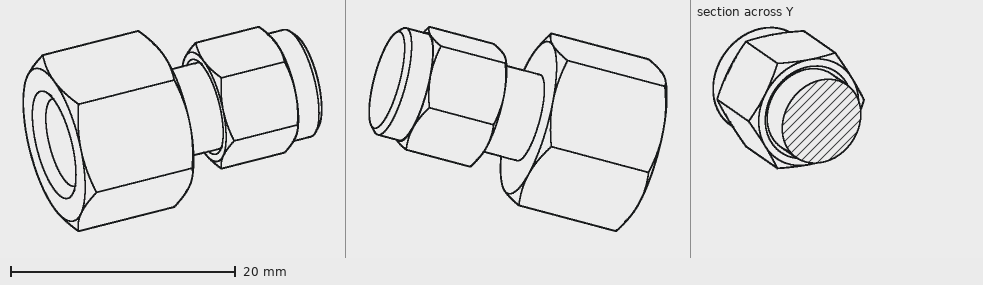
import cadquery as cq
import math

total_length = 24.0
large_nut_end = 10.5
neck_end = 14.5
small_nut_end = 21.5

large_nut_flats = 14.0
small_nut_flats = 10.0
neck_diameter = 7.92
collar_diameter = 9.85
collar_chamfer = 0.48

recess_mouth_diameter = 9.85
recess_floor_diameter = 8.02

countersink_diameter = 8.7

nut_chamfer_angle = math.radians(30)


def cylinder(diameter, start, end):
    """Cylinder along Y between two stations."""
    plane = cq.Workplane("XZ", origin=(0, start, 0))
    return plane.circle(diameter / 2).extrude(start - end)


def hex_nut(across_flats, start, end):
    """Hexagon along Y, corners on X, with its corners turned off at both ends."""
    across_corners = across_flats / math.cos(math.pi / 6)
    plane = cq.Workplane("XZ", origin=(0, start, 0))
    prism = plane.polygon(6, across_corners).extrude(start - end)

    face_radius = across_flats / 2
    corner_radius = across_corners / 2
    corner_drop = (corner_radius - face_radius) * math.tan(nut_chamfer_angle)
    turned_profile = [
        (0, start),
        (face_radius, start),
        (corner_radius, start + corner_drop),
        (corner_radius, end - corner_drop),
        (face_radius, end),
        (0, end),
    ]
    turned = cq.Workplane("XY").polyline(turned_profile).close().revolve(360, (0, 0), (0, 1))
    return prism.intersect(turned)


def conical_cut(mouth_diameter, floor_diameter, start):
    """Cone narrowing at 45 degrees to a flat floor, with its mouth at the start station."""
    depth = (mouth_diameter - floor_diameter) / 2
    profile = [
        (0, start),
        (mouth_diameter / 2, start),
        (floor_diameter / 2, start + depth),
        (0, start + depth),
    ]
    return cq.Workplane("XY").polyline(profile).close().revolve(360, (0, 0), (0, 1))


large_nut = hex_nut(large_nut_flats, 0, large_nut_end)
large_nut = large_nut.cut(conical_cut(recess_mouth_diameter, recess_floor_diameter, 0))

small_nut = hex_nut(small_nut_flats, neck_end, small_nut_end)
small_nut = small_nut.cut(conical_cut(countersink_diameter, neck_diameter, neck_end))

neck = cylinder(neck_diameter, large_nut_end, small_nut_end)
collar = cylinder(collar_diameter, small_nut_end, total_length).faces(">Y").chamfer(collar_chamfer)

result = large_nut.union(neck).union(small_nut).union(collar)